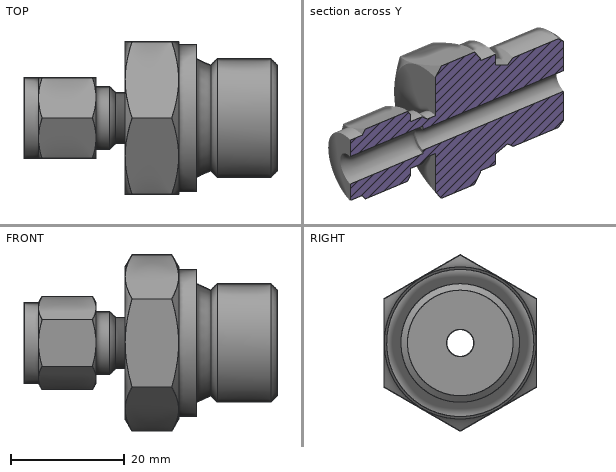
import cadquery as cq
import math


NUT_COLLAR_END = 2.5
NUT_END = 12.7
NECK_CONE_START = 15.1
NECK_CONE_END = 16.15
BODY_HEX_START = 17.8
BODY_HEX_END = 27.3
FLANGE_END = 30.45
RELIEF_BOTTOM = 32.95
TOTAL_LENGTH = 44.7

NUT_FLATS = 14.29
NUT_COLLAR_DIAMETER = 14.29
BODY_FLATS = 27.0
NECK_DIAMETER = 11.11
NECK_SMALL_DIAMETER = 9.0
FLANGE_DIAMETER = 26.0
THREAD_DIAMETER = 20.955
THREAD_CHAMFER = 1.15
BORE_DIAMETER = 4.75
SOCKET_DIAMETER = 6.35
SOCKET_DEPTH = 15.2

HEX_CHAMFER_ANGLE = 30.0
FACE_TO_FLATS_RATIO = 0.995
CONE_OVERRUN = 1.05


def revolve_about_x(points):
    """Solid of revolution about X from (x, radius) points."""
    profile = cq.Workplane("XZ").polyline(points).close()
    return profile.revolve(360, (0, 0, 0), (1, 0, 0))


def cylinder(start, end, diameter):
    """Round bar along X between two stations."""
    return cq.Workplane("YZ", origin=(start, 0, 0)).circle(diameter / 2).extrude(end - start)


def chamfered_hexagon(start, end, across_flats):
    """Hexagon bar with corners along +Z and -Z, conically chamfered at both ends."""
    corner_radius = across_flats / math.sqrt(3)
    prism = (
        cq.Workplane("YZ", origin=(start, 0, 0))
        .polygon(6, 2 * corner_radius)
        .extrude(end - start)
        .rotate((0, 0, 0), (1, 0, 0), 90)
    )
    face_radius = across_flats * FACE_TO_FLATS_RATIO / 2
    outer_radius = corner_radius * CONE_OVERRUN
    chamfer_length = (outer_radius - face_radius) * math.tan(math.radians(HEX_CHAMFER_ANGLE))
    envelope = revolve_about_x([
        (start, 0),
        (start, face_radius),
        (start + chamfer_length, outer_radius),
        (end - chamfer_length, outer_radius),
        (end, face_radius),
        (end, 0),
    ])
    return prism.intersect(envelope)


def make_nut():
    collar = cylinder(0, NUT_COLLAR_END, NUT_COLLAR_DIAMETER)
    return collar.union(chamfered_hexagon(NUT_COLLAR_END, NUT_END, NUT_FLATS))


def make_neck():
    """Neck between nut and body, stepping down through a short cone."""
    return revolve_about_x([
        (NUT_END, 0),
        (NUT_END, NECK_DIAMETER / 2),
        (NECK_CONE_START, NECK_DIAMETER / 2),
        (NECK_CONE_END, NECK_SMALL_DIAMETER / 2),
        (BODY_HEX_START, NECK_SMALL_DIAMETER / 2),
        (BODY_HEX_START, 0),
    ])


def make_threaded_end():
    """Sealing flange, tapered thread relief and plain thread cylinder."""
    thread_radius = THREAD_DIAMETER / 2
    root_radius = thread_radius - THREAD_CHAMFER
    return revolve_about_x([
        (BODY_HEX_END, 0),
        (BODY_HEX_END, FLANGE_DIAMETER / 2),
        (FLANGE_END, FLANGE_DIAMETER / 2),
        (FLANGE_END, thread_radius),
        (RELIEF_BOTTOM, root_radius),
        (RELIEF_BOTTOM + THREAD_CHAMFER, thread_radius),
        (TOTAL_LENGTH - THREAD_CHAMFER, thread_radius),
        (TOTAL_LENGTH, root_radius),
        (TOTAL_LENGTH, 0),
    ])


body_hexagon = chamfered_hexagon(BODY_HEX_START, BODY_HEX_END, BODY_FLATS)
fitting = make_nut().union(make_neck()).union(body_hexagon).union(make_threaded_end())

through_bore = cylinder(0, TOTAL_LENGTH, BORE_DIAMETER)
tube_socket = cylinder(0, SOCKET_DEPTH, SOCKET_DIAMETER)
result = fitting.cut(through_bore).cut(tube_socket)